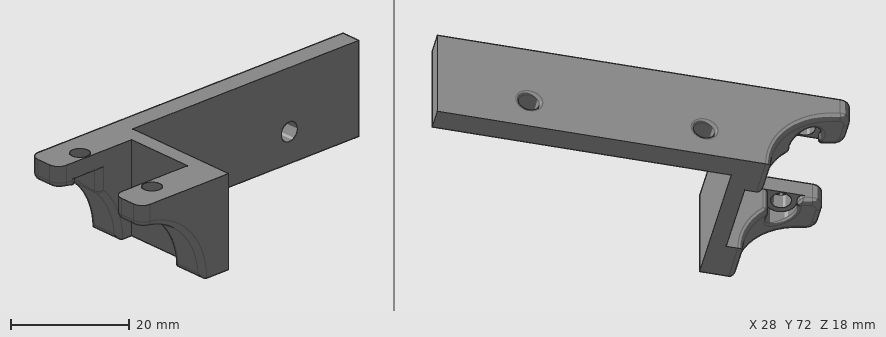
import cadquery as cq
import math

length = 72.0
width = 28.0
height = 18.0

wall_thickness = 3.95
fork_length = 20.0
arm_width = width / 4
web_thickness = 3.0
tip_corner_radius = 2.0

tip_thickness = 4.0
relief_radius = height - tip_thickness
edge_fillet = 1.0

rim_fillet = 0.5

arm_hole_diameter = 3.5
arm_hole_inset = 5.0
arm_hole_y = 7.0
head_diameter = 5.5
head_seat_z = 15.0
mouth_fillet = 1.0

wall_hole_diameter = 3.7
wall_hole_z = 6.0
wall_hole_ys = (25.55, 56.0)


def box(x, y, z, dx, dy, dz):
    """Box given by its lowest corner and its size."""
    return cq.Workplane("XY").box(dx, dy, dz, centered=False).translate((x, y, z))


def fork_arm():
    """Left arm with rounded tip corners and a filleted quarter-round relief."""
    arm = box(0, 0, 0, arm_width, fork_length, height)
    arm = arm.edges("|Z and <Y").fillet(tip_corner_radius)
    relief = cq.Workplane("YZ").circle(relief_radius).extrude(arm_width)
    arm = arm.cut(relief)
    relief_middle = relief_radius * math.sqrt(0.5)
    relief_face = cq.selectors.NearestToPointSelector((arm_width / 2, relief_middle, relief_middle))
    return arm.faces(relief_face).edges().fillet(edge_fillet)


def head_pocket():
    """Round screw-head pocket whose mouth flares smoothly into the arm's inner face."""
    radius = head_diameter / 2
    centre_distance = radius + mouth_fillet
    flare_dx = arm_width - mouth_fillet - arm_hole_inset
    flare_dy = math.sqrt(centre_distance**2 - flare_dx**2)
    tangent_x = arm_hole_inset + flare_dx * radius / centre_distance
    tangent_dy = flare_dy * radius / centre_distance
    return (
        cq.Workplane("XY")
        .moveTo(arm_width, arm_hole_y - flare_dy)
        .radiusArc((tangent_x, arm_hole_y - tangent_dy), -mouth_fillet)
        .threePointArc((arm_hole_inset - radius, arm_hole_y), (tangent_x, arm_hole_y + tangent_dy))
        .radiusArc((arm_width, arm_hole_y + flare_dy), -mouth_fillet)
        .close()
        .extrude(head_seat_z)
    )


def drilled_arm():
    """Fork arm with its screw hole and a head pocket rounded at the relief."""
    screw_hole = (
        cq.Workplane("XY")
        .center(arm_hole_inset, arm_hole_y)
        .circle(arm_hole_diameter / 2)
        .extrude(height)
    )
    arm = fork_arm().cut(head_pocket())
    rim_height = math.sqrt(relief_radius**2 - arm_hole_y**2)
    rim_point = (arm_hole_inset - head_diameter / 4, arm_hole_y, rim_height)
    rim = cq.selectors.NearestToPointSelector(rim_point)
    return arm.edges(rim).fillet(rim_fillet).cut(screw_hole)


def long_wall():
    """Plain wall behind the fork with two cross holes rounded at the outer face."""
    wall = box(0, fork_length, 0, wall_thickness, length - fork_length, height)
    for y in wall_hole_ys:
        hole = (
            cq.Workplane("YZ")
            .center(y, wall_hole_z)
            .circle(wall_hole_diameter / 2)
            .extrude(wall_thickness)
        )
        wall = wall.cut(hole)
    return wall.faces("<X").edges("%CIRCLE").fillet(rim_fillet)


left_arm = drilled_arm()
right_arm = left_arm.mirror("YZ").translate((width, 0, 0))
web = box(0, fork_length - web_thickness, 0, width, web_thickness, height)

result = long_wall().union(web).union(left_arm).union(right_arm).clean()